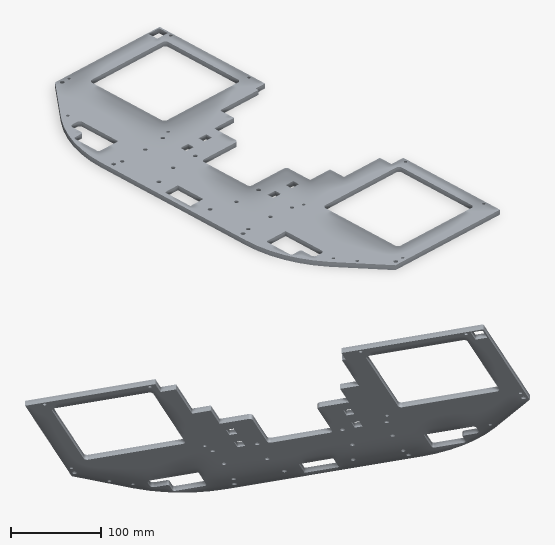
import cadquery as cq
import math

LENGTH = 536.0
WIDTH = 245.0
THICKNESS = 6.5
HALF_LENGTH = LENGTH / 2
BACK = WIDTH / 2
FRONT = -WIDTH / 2

SIDE_END_Y = -41.0
FLANK_END_X = 211.0
FLANK_END_Y = -88.5
FRONT_EDGE_X = 114.0

BAY_HALF = 38.0
BAY_FLOOR_Y = -40.5
BAY_RADIUS = 4.0
LOWER_STEP_HALF = 75.5
LOWER_STEP_Y = 16.5
UPPER_STEP_HALF = 97.5
UPPER_STEP_Y = 47.5
LEFT_TAB_X = -102.0
LEFT_TAB_Y = 107.5
RIGHT_TAB_X = 116.0
RIGHT_TAB_Y = 104.0

WINDOW_X = 184.0
WINDOW_Y = 47.0
WINDOW_LENGTH = 118.5
WINDOW_WIDTH = 119.5
WINDOW_RADIUS = 4.5

CORNER_LEFT = -266.5
CORNER_RIGHT = -252.5
CORNER_BACK = 120.0
CORNER_FRONT = 103.5
CORNER_RADIUS = 2.0

L_INNER_X = 132.0
L_STEP_X = 171.5
L_OUTER_X = 192.5
L_BACK_Y = -77.5
L_STEP_Y = -93.0
L_FRONT_Y = -108.0
L_OUTER_RADIUS = 4.5
L_INNER_RADIUS = 2.5

SLOT_LENGTH = 40.0
SLOT_WIDTH = 20.5
SLOT_Y = -105.5

LATCH_X = 68.5
LATCH_ROWS_Y = (-4.5, -32.5)
LATCH_LENGTH = 9.0
LATCH_WIDTH = 12.0

MIRRORED_HOLES = {
    3.8: [(246.5, 118.5), (123.0, 118.5), (262.5, -24.5), (106.5, -24.5), (209.0, -80.0)],
    4.95: [(102.0, -38.0), (98.5, -68.5), (99.0, -104.0)],
    5.05: [(50.0, -73.5)],
    5.5: [(262.5, -35.5), (50.0, -38.5), (40.0, -105.0), (102.0, -114.5)],
}

EXTRA_HOLE_DIAMETER = 4.5
EXTRA_HOLE = (231.5, -65.0)


def prism(sketch):
    return sketch.extrude(THICKNESS)


def base_plane():
    return cq.Workplane("XY").workplane(offset=-THICKNESS / 2)


def box_cutter(x, y, length, width):
    return prism(base_plane().center(x, y).rect(length, width))


def outline():
    run = FLANK_END_X - FRONT_EDGE_X
    rise = FLANK_END_Y - FRONT
    radius = (run**2 + rise**2) / (2 * rise)
    half_angle = math.asin(run / radius) / 2
    mid_x = FRONT_EDGE_X + radius * math.sin(half_angle)
    mid_y = FRONT + radius * (1 - math.cos(half_angle))
    return (
        base_plane()
        .moveTo(-HALF_LENGTH, BACK)
        .lineTo(-HALF_LENGTH, SIDE_END_Y)
        .lineTo(-FLANK_END_X, FLANK_END_Y)
        .threePointArc((-mid_x, mid_y), (-FRONT_EDGE_X, FRONT))
        .lineTo(FRONT_EDGE_X, FRONT)
        .threePointArc((mid_x, mid_y), (FLANK_END_X, FLANK_END_Y))
        .lineTo(HALF_LENGTH, SIDE_END_Y)
        .lineTo(HALF_LENGTH, BACK)
        .lineTo(RIGHT_TAB_X, BACK)
        .lineTo(RIGHT_TAB_X, RIGHT_TAB_Y)
        .lineTo(UPPER_STEP_HALF, RIGHT_TAB_Y)
        .lineTo(UPPER_STEP_HALF, UPPER_STEP_Y)
        .lineTo(LOWER_STEP_HALF, UPPER_STEP_Y)
        .lineTo(LOWER_STEP_HALF, LOWER_STEP_Y)
        .lineTo(BAY_HALF, LOWER_STEP_Y)
        .lineTo(BAY_HALF, BAY_FLOOR_Y)
        .lineTo(-BAY_HALF, BAY_FLOOR_Y)
        .lineTo(-BAY_HALF, LOWER_STEP_Y)
        .lineTo(-LOWER_STEP_HALF, LOWER_STEP_Y)
        .lineTo(-LOWER_STEP_HALF, UPPER_STEP_Y)
        .lineTo(-UPPER_STEP_HALF, UPPER_STEP_Y)
        .lineTo(-UPPER_STEP_HALF, LEFT_TAB_Y)
        .lineTo(LEFT_TAB_X, LEFT_TAB_Y)
        .lineTo(LEFT_TAB_X, BACK)
        .close()
    )


def rounded_plate():
    bay_corners = cq.selectors.BoxSelector(
        (-BAY_HALF - BAY_RADIUS, BAY_FLOOR_Y - BAY_RADIUS, -THICKNESS),
        (BAY_HALF + BAY_RADIUS, LOWER_STEP_Y + BAY_RADIUS, THICKNESS),
    )
    return prism(outline()).edges("|Z").edges(bay_corners).fillet(BAY_RADIUS)


def window_cutter():
    window = box_cutter(WINDOW_X, WINDOW_Y, WINDOW_LENGTH, WINDOW_WIDTH)
    return window.edges("|Z").fillet(WINDOW_RADIUS)


def corner_cutter():
    opening = box_cutter(
        (CORNER_LEFT + CORNER_RIGHT) / 2,
        (CORNER_BACK + CORNER_FRONT) / 2,
        CORNER_RIGHT - CORNER_LEFT,
        CORNER_BACK - CORNER_FRONT,
    )
    return opening.edges("|Z").edges("<X and >Y").fillet(CORNER_RADIUS)


def l_cutter():
    opening = prism(
        base_plane()
        .moveTo(L_INNER_X, L_BACK_Y)
        .lineTo(L_OUTER_X, L_BACK_Y)
        .lineTo(L_OUTER_X, L_STEP_Y)
        .lineTo(L_STEP_X, L_STEP_Y)
        .lineTo(L_STEP_X, L_FRONT_Y)
        .lineTo(L_INNER_X, L_FRONT_Y)
        .close()
    )
    opening = opening.edges("|Z and >X").fillet(L_OUTER_RADIUS)
    step_corner = cq.selectors.NearestToPointSelector((L_STEP_X, L_STEP_Y, 0))
    opening = opening.edges("|Z").edges(step_corner).fillet(L_INNER_RADIUS)
    return opening.edges("|Z and <Y").fillet(L_INNER_RADIUS)


def hole_cutter(diameter, points):
    return prism(base_plane().pushPoints(points).circle(diameter / 2))


plate = rounded_plate()

side_cutters = [window_cutter(), l_cutter()]
for latch_y in LATCH_ROWS_Y:
    side_cutters.append(box_cutter(LATCH_X, latch_y, LATCH_LENGTH, LATCH_WIDTH))
for diameter, points in MIRRORED_HOLES.items():
    side_cutters.append(hole_cutter(diameter, points))
for cutter in side_cutters:
    plate = plate.cut(cutter).cut(cutter.mirror("YZ"))

plate = plate.cut(corner_cutter())
plate = plate.cut(box_cutter(0, SLOT_Y, SLOT_LENGTH, SLOT_WIDTH))
result = plate.cut(hole_cutter(EXTRA_HOLE_DIAMETER, [EXTRA_HOLE]))